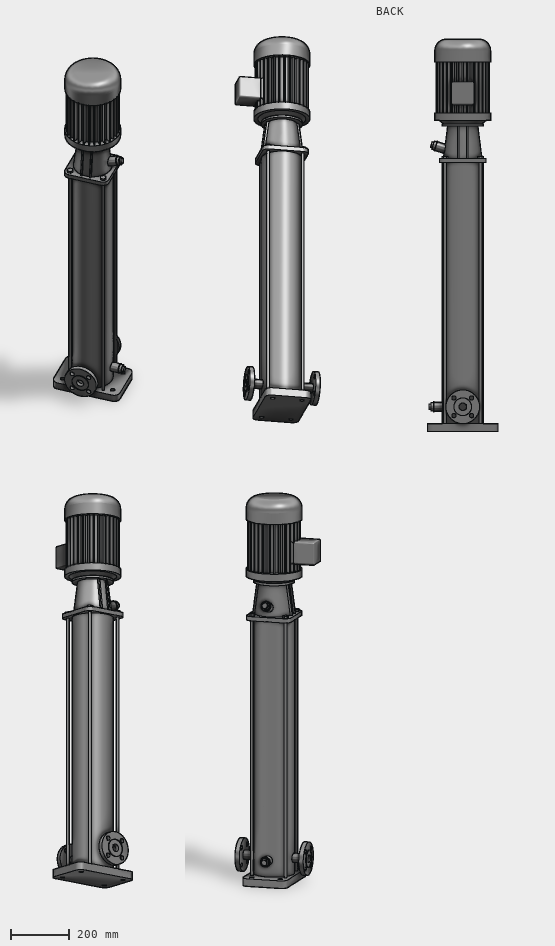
import cadquery as cq
import math

TOTAL_HEIGHT = 1332.0
TOTAL_DEPTH = 280.0

BASE_LENGTH = 240.0
PLATE_SIDE = 159.0
BASE_THICKNESS = 27.0
PLATE_CORNER = 21.0
ANCHOR_HOLE = 15.0
ANCHOR_SPACING_X = 181.0
ANCHOR_SPACING_Y = 101.0

COLUMN_DIAMETER = 140.0
HEAD_BOTTOM = 912.0
HEAD_TOP = 927.0
ROD_DIAMETER = 10.0
ROD_OFFSET = 60.0
NUT_SIDES = 6
NUT_ACROSS_CORNERS = 21.0
NUT_HEIGHT = 7.0

PORT_HEIGHT = 84.0
PORT_TURNS = (0, 180)
PORT_SPAN = 249.0
PORT_FACE = PORT_SPAN / 2
RAISED_FACE_DIAMETER = 60.0
RAISED_FACE_HEIGHT = 3.0
FLANGE_DIAMETER = 115.0
FLANGE_THICKNESS = 16.0
PORT_PIPE_DIAMETER = 32.0
PORT_BORE = 25.0
PORT_BORE_END = 67.0
FLANGE_HOLE = 15.0
FLANGE_BOLT_SPACING = 60.0

PLUG_PIPE_DIAMETER = 32.0
PLUG_STEPS = ((35.0, 1.0), (29.0, 9.0), (20.0, 7.0))
DRAIN_PIPE_END = 97.0
VENT_HEIGHT = 952.0
VENT_START = 40.0
VENT_PIPE_LENGTH = 53.0
VENT_TILT = 18.0

LANTERN_BOTTOM_DIAMETER = 132.0
LANTERN_TOP_DIAMETER = 104.0
LANTERN_TOP = 1036.0
RIB_OFFSET = 16.0
RIB_THICKNESS = 5.0
RIB_BOTTOM_REACH = 70.0
RIB_TOP_REACH = 56.0

MOTOR_DIAMETER = 190.0
MOTOR_FLANGE_DIAMETER = 140.0
MOTOR_FLANGE_TOP = 1044.0
MOTOR_NECK_DIAMETER = 130.0
MOTOR_CONE_DIAMETER = 163.0
MOTOR_BOTTOM = 1056.0
FINS_BOTTOM = 1082.0
FINS_TOP = 1253.0
DOME_RADIUS = 40.0
FIN_COUNT = 30
FIRST_FIN_ANGLE = 90.0
FIN_THICKNESS = 4.7
FIN_TIP_RADIUS = 90.0
CORE_RADIUS = 75.0

BOX_WIDTH = 77.0
BOX_BOTTOM = 1108.0
BOX_TOP = 1187.0
BOX_FACE = TOTAL_DEPTH - PORT_FACE
BOX_SIDE_FILLET = 7.0
BOX_FACE_FILLET = 5.0


def base_plate():
    plate = cq.Workplane("XY").rect(BASE_LENGTH, PLATE_SIDE).extrude(BASE_THICKNESS)
    plate = plate.edges("|Z").fillet(PLATE_CORNER)
    return (
        plate.faces(">Z").workplane()
        .rect(ANCHOR_SPACING_X, ANCHOR_SPACING_Y, forConstruction=True).vertices()
        .hole(ANCHOR_HOLE)
    )


def column():
    head = cq.Workplane("XY").workplane(offset=HEAD_BOTTOM).rect(PLATE_SIDE, PLATE_SIDE)
    head = head.extrude(HEAD_TOP - HEAD_BOTTOM).edges("|Z").fillet(PLATE_CORNER)
    tube = cq.Workplane("XY").workplane(offset=BASE_THICKNESS).circle(COLUMN_DIAMETER / 2)
    tube = tube.extrude(HEAD_BOTTOM - BASE_THICKNESS)
    spacing = 2 * ROD_OFFSET
    rods = (
        cq.Workplane("XY").workplane(offset=BASE_THICKNESS)
        .rect(spacing, spacing, forConstruction=True).vertices()
        .circle(ROD_DIAMETER / 2).extrude(HEAD_BOTTOM - BASE_THICKNESS)
    )
    nuts = (
        cq.Workplane("XY").workplane(offset=HEAD_TOP)
        .rect(spacing, spacing, forConstruction=True).vertices()
        .polygon(NUT_SIDES, NUT_ACROSS_CORNERS).extrude(NUT_HEIGHT)
    )
    return tube.union(head).union(rods).union(nuts)


def port_plane(distance):
    """Sketch plane on the -Y side, facing outwards, at a distance from the column axis."""
    return cq.Workplane(cq.Plane((0, -distance, PORT_HEIGHT), (1, 0, 0), (0, -1, 0)))


def port():
    flange_front = PORT_FACE - RAISED_FACE_HEIGHT
    flange_back = flange_front - FLANGE_THICKNESS
    flange = port_plane(flange_back).circle(FLANGE_DIAMETER / 2).extrude(FLANGE_THICKNESS)
    holes = (
        port_plane(flange_back)
        .rect(FLANGE_BOLT_SPACING, FLANGE_BOLT_SPACING, forConstruction=True).vertices()
        .circle(FLANGE_HOLE / 2).extrude(FLANGE_THICKNESS)
    )
    face = port_plane(flange_front).circle(RAISED_FACE_DIAMETER / 2).extrude(RAISED_FACE_HEIGHT)
    pipe = port_plane(0).circle(PORT_PIPE_DIAMETER / 2).extrude(flange_back)
    return flange.cut(holes).union(face).union(pipe)


def port_bore():
    return port_plane(PORT_BORE_END).circle(PORT_BORE / 2).extrude(PORT_FACE - PORT_BORE_END)


def plug(start, direction, pipe_length):
    """Pipe stub with a stepped plug, running from start along direction."""
    axis = cq.Workplane(cq.Plane(start, (0, 1, 0), direction))
    body = axis.circle(PLUG_PIPE_DIAMETER / 2).extrude(pipe_length)
    end = pipe_length
    for diameter, length in PLUG_STEPS:
        body = body.union(axis.workplane(offset=end).circle(diameter / 2).extrude(length))
        end += length
    return body


def lantern():
    body = (
        cq.Workplane("XY").workplane(offset=HEAD_TOP).circle(LANTERN_BOTTOM_DIAMETER / 2)
        .workplane(offset=LANTERN_TOP - HEAD_TOP).circle(LANTERN_TOP_DIAMETER / 2).loft()
    )
    outline = [
        (-RIB_BOTTOM_REACH, HEAD_TOP),
        (RIB_BOTTOM_REACH, HEAD_TOP),
        (RIB_TOP_REACH, LANTERN_TOP),
        (-RIB_TOP_REACH, LANTERN_TOP),
    ]
    for side in (-1, 1):
        middle = cq.Workplane("YZ").workplane(offset=side * RIB_OFFSET)
        body = body.union(middle.polyline(outline).close().extrude(RIB_THICKNESS / 2, both=True))
    return body


def motor():
    rim = MOTOR_DIAMETER / 2
    shell = (
        cq.Workplane("XZ")
        .moveTo(0, LANTERN_TOP)
        .lineTo(MOTOR_FLANGE_DIAMETER / 2, LANTERN_TOP)
        .lineTo(MOTOR_FLANGE_DIAMETER / 2, MOTOR_FLANGE_TOP)
        .lineTo(MOTOR_NECK_DIAMETER / 2, MOTOR_FLANGE_TOP)
        .lineTo(MOTOR_CONE_DIAMETER / 2, MOTOR_BOTTOM)
        .lineTo(rim, MOTOR_BOTTOM)
        .lineTo(rim, FINS_BOTTOM)
        .lineTo(CORE_RADIUS, FINS_BOTTOM)
        .lineTo(CORE_RADIUS, FINS_TOP)
        .lineTo(rim, FINS_TOP)
        .lineTo(rim, TOTAL_HEIGHT - DOME_RADIUS)
        .radiusArc((rim - DOME_RADIUS, TOTAL_HEIGHT), -DOME_RADIUS)
        .lineTo(0, TOTAL_HEIGHT)
        .close()
        .revolve(360, (0, 0, 0), (0, 1, 0))
    )
    fin_root = CORE_RADIUS - FIN_THICKNESS
    fins = (
        cq.Workplane("XY").workplane(offset=FINS_BOTTOM)
        .polarArray((fin_root + FIN_TIP_RADIUS) / 2, FIRST_FIN_ANGLE, 360, FIN_COUNT)
        .rect(FIN_TIP_RADIUS - fin_root, FIN_THICKNESS).extrude(FINS_TOP - FINS_BOTTOM)
    )
    return shell.union(fins)


def terminal_box():
    box = cq.Workplane("XY").box(BOX_WIDTH, BOX_FACE, BOX_TOP - BOX_BOTTOM, centered=(True, False, False))
    box = box.edges("|Y").fillet(BOX_SIDE_FILLET).faces(">Y").edges().fillet(BOX_FACE_FILLET)
    return box.translate((0, 0, BOX_BOTTOM))


tilt = math.radians(VENT_TILT)
drain_plug = plug((0, 0, PORT_HEIGHT), (1, 0, 0), DRAIN_PIPE_END)
vent_plug = plug((VENT_START, 0, VENT_HEIGHT), (math.cos(tilt), 0, math.sin(tilt)), VENT_PIPE_LENGTH)

result = base_plate().union(column()).union(drain_plug)
for turn in PORT_TURNS:
    result = result.union(port().rotate((0, 0, 0), (0, 0, 1), turn))
for turn in PORT_TURNS:
    result = result.cut(port_bore().rotate((0, 0, 0), (0, 0, 1), turn))
result = result.union(lantern()).union(vent_plug).union(motor()).union(terminal_box())